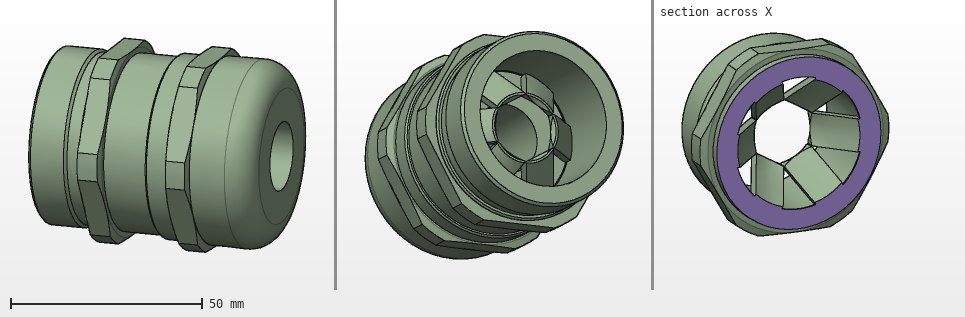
import cadquery as cq
import math


thread_radius = 47.0 / 2
relief_radius = 45.5 / 2
collar_radius = 24.0
ring_radius = 49.0 / 2
cap_radius = 50.0 / 2
cap_start_radius = 24.85

total_length = 62.0
thread_chamfer = thread_radius - relief_radius
thread_end = 10.6
collar_start = 14.2
body_hex_start = 14.9
body_hex_end = 21.0
ring_start = 32.7
ring_chamfer = 0.5
cap_hex_start = 38.7
cap_hex_end = 45.2
cap_round_start = 54.95
cap_round = total_length - cap_round_start

hex_sides = 6
across_flats = 50.0
hex_corner_radius = 53.95 / 2
corner_bevel_length = 0.6

bore_radius = 36.4 / 2
bore_floor = 23.05
seat_radius = 18.0
seat_floor = 23.45
claw_count = hex_sides
claw_gap = 0.1
claw_opening_flats = 15.9
claw_tip = 11.05
claw_tip_outer_radius = 19.0 / 2
claw_tip_inner_radius = 8.85
claw_throat = 12.4
claw_root = 21.1

claw_throat_radius = claw_opening_flats / 2
claw_width = claw_opening_flats * math.tan(math.pi / hex_sides) - claw_gap
outlet_radius = claw_throat_radius / math.cos(math.pi / hex_sides)


def revolve_profile(profile):
    """Turn a closed X-Y profile about the X axis."""
    return profile.close().revolve(360, (0, 0, 0), (1, 0, 0))


def round_bar(start, end, radius):
    """Round bar along the X axis."""
    return cq.Workplane("YZ", origin=(start, 0, 0)).circle(radius).extrude(end - start)


def hexagon(start, end, flats):
    """Hexagonal bar with two flats facing +Z and -Z."""
    corner_diameter = flats / math.cos(math.pi / hex_sides)
    face = cq.Workplane("YZ", origin=(start, 0, 0)).polygon(hex_sides, corner_diameter)
    return face.extrude(end - start)


def turned_body():
    """Solid turned outside: thread, relief, collar, body, ring and rounded cap."""
    round_centre_radius = cap_radius - cap_round
    mid = math.sqrt(0.5) * cap_round
    profile = (
        cq.Workplane("XY")
        .lineTo(0, relief_radius)
        .lineTo(thread_chamfer, thread_radius)
        .lineTo(thread_end - thread_chamfer, thread_radius)
        .lineTo(thread_end, relief_radius)
        .lineTo(collar_start, relief_radius)
        .lineTo(collar_start, thread_radius)
        .lineTo(collar_start + collar_radius - thread_radius, collar_radius)
        .lineTo(body_hex_start, collar_radius)
        .lineTo(body_hex_start, thread_radius)
        .lineTo(ring_start, thread_radius)
        .lineTo(ring_start, ring_radius - ring_chamfer)
        .lineTo(ring_start + ring_chamfer, ring_radius)
        .lineTo(cap_hex_end, ring_radius)
        .lineTo(cap_hex_end, cap_start_radius)
        .lineTo(cap_round_start, cap_radius)
        .threePointArc(
            (cap_round_start + mid, round_centre_radius + mid),
            (total_length, round_centre_radius),
        )
        .lineTo(total_length, 0)
    )
    return revolve_profile(profile)


def hex_band(start, end, bevel_start):
    """Wrench hexagon with rounded corners, bevelled at its end and optionally at its start."""
    bevel_radius = across_flats / 2
    start_radius = bevel_radius if bevel_start else hex_corner_radius
    profile = cq.Workplane("XY").moveTo(start, 0).lineTo(start, start_radius)
    if bevel_start:
        profile = profile.lineTo(start + corner_bevel_length, hex_corner_radius)
    profile = (
        profile.lineTo(end - corner_bevel_length, hex_corner_radius)
        .lineTo(end, bevel_radius)
        .lineTo(end, 0)
    )
    return hexagon(start, end, across_flats).intersect(revolve_profile(profile))


def claws():
    """Six separate claws that lean in from the bore wall towards the threaded end."""
    outer_slope = (bore_radius - claw_tip_outer_radius) / (claw_root - claw_tip)
    inner_root = claw_throat + (bore_radius - claw_throat_radius) / outer_slope
    shell = revolve_profile(
        cq.Workplane("XY")
        .moveTo(claw_tip, claw_tip_inner_radius)
        .lineTo(claw_tip, claw_tip_outer_radius)
        .lineTo(claw_root, bore_radius)
        .lineTo(inner_root, bore_radius)
        .lineTo(claw_throat, claw_throat_radius)
    )
    claw = shell.intersect(
        cq.Workplane("XY")
        .box(total_length, bore_radius, claw_width, centered=(False, False, True))
        .translate((0, claw_throat_radius, 0))
    )
    ring = cq.Workplane("XY")
    for i in range(claw_count):
        ring = ring.union(claw.rotate((0, 0, 0), (1, 0, 0), i * 360 / claw_count))
    return ring


result = (
    turned_body()
    .union(hex_band(body_hex_start, body_hex_end, bevel_start=False))
    .union(hex_band(cap_hex_start, cap_hex_end, bevel_start=True))
    .cut(round_bar(0, bore_floor, bore_radius))
    .cut(round_bar(bore_floor, seat_floor, seat_radius))
    .cut(round_bar(seat_floor, total_length, outlet_radius))
    .union(claws())
)